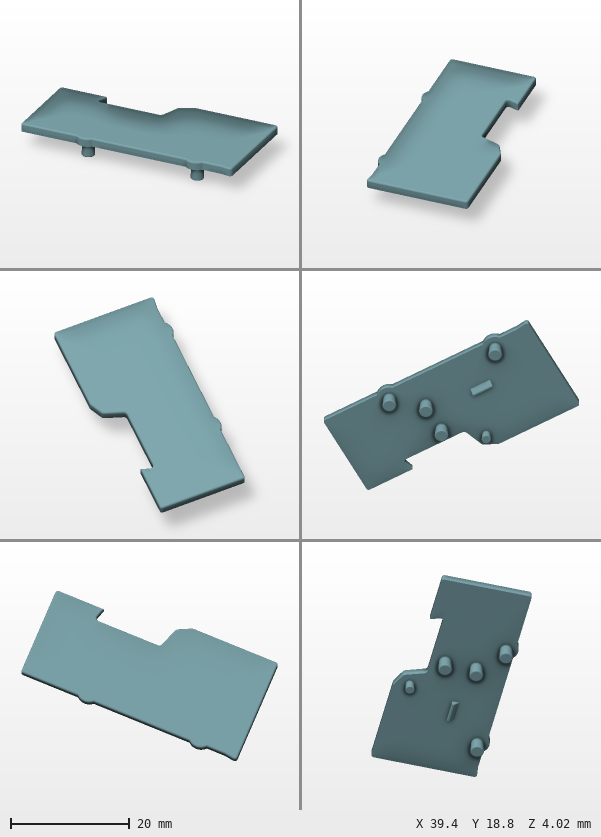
import cadquery as cq
import math

length = 39.4
plate_thickness = 1.5
top_fillet = 0.3
left_side_y = 15.52
right_side_y = 18.25
left_corner_radius = 0.4
right_corner_radius = 0.47

notch_floor_y = 13.28
notch_lip_x = 8.65
notch_left_x = 7.95
notch_right_x = 19.9
notch_left_radius = 0.5
notch_right_radius = 0.7
shoulder_x, shoulder_y = 21.25, 17.02
shoulder_end_x = 23.75
shoulder_radius = 0.8

raised_edge_y = 0.2
slope_start_x = 37.2
corner_y = -0.1

pin_length = 2.52
pin_top_diameter = 2.05
pin_tip_diameter = 2.32
pin_tip_fillet = 0.25
front_pin_y = 1.58
left_pin_x = 11.9
right_pin_x = 32.25
inner_pin_x = 16.75
inner_pin_ys = (5.55, 10.95)

short_pin_x, short_pin_y = 22.8, 15.55
short_pin_length = 1.8
short_pin_top_diameter = 1.4
short_pin_tip_diameter = 1.58
short_pin_tip_fillet = 0.1

lobe_radius = 2.13
lobe_blend_radius = 0.3

catch_start_x = 24.65
catch_width = 3.82
catch_front_y = 6.55
catch_back_y = 7.75
catch_depth = 0.83
catch_fillet = 0.2


def lobe_half_width(edge_y):
    """Half the chord that a straight edge at edge_y cuts from a lobe."""
    return math.sqrt(lobe_radius**2 - (front_pin_y - edge_y) ** 2)


def round_corners(solid, corners, radius):
    """Round the upright edges of the plate at the given corners."""
    for x, y in corners:
        nearest = cq.selectors.NearestToPointSelector((x, y, plate_thickness / 2))
        solid = solid.edges("|Z").edges(nearest).fillet(radius)
    return solid


def plate():
    lobe_tip_y = front_pin_y - lobe_radius
    half_chord = lobe_half_width(0)
    raised_half_chord = lobe_half_width(raised_edge_y)
    left_lobe_ends = (left_pin_x - half_chord, left_pin_x + half_chord)
    right_lobe_ends = (right_pin_x - half_chord, right_pin_x + raised_half_chord)

    body = (
        cq.Workplane("XY")
        .lineTo(left_lobe_ends[0], 0)
        .threePointArc((left_pin_x, lobe_tip_y), (left_lobe_ends[1], 0))
        .lineTo(right_lobe_ends[0], 0)
        .threePointArc((right_pin_x, lobe_tip_y), (right_lobe_ends[1], raised_edge_y))
        .lineTo(slope_start_x, raised_edge_y)
        .lineTo(length, corner_y)
        .lineTo(length, right_side_y)
        .lineTo(shoulder_end_x, right_side_y)
        .lineTo(shoulder_x, shoulder_y)
        .lineTo(notch_right_x, notch_floor_y)
        .lineTo(notch_left_x, notch_floor_y)
        .lineTo(notch_lip_x, left_side_y)
        .lineTo(0, left_side_y)
        .close()
        .extrude(plate_thickness)
    )

    lobe_corners = [(x, 0) for x in (*left_lobe_ends, right_lobe_ends[0])]
    lobe_corners.append((right_lobe_ends[1], raised_edge_y))
    shoulder_corners = [(shoulder_x, shoulder_y), (shoulder_end_x, right_side_y)]
    body = round_corners(body, [(0, 0), (0, left_side_y)], left_corner_radius)
    body = round_corners(body, [(length, corner_y), (length, right_side_y)], right_corner_radius)
    body = round_corners(body, lobe_corners, lobe_blend_radius)
    body = round_corners(body, [(notch_left_x, notch_floor_y)], notch_left_radius)
    body = round_corners(body, [(notch_right_x, notch_floor_y)], notch_right_radius)
    body = round_corners(body, shoulder_corners, shoulder_radius)
    return body.faces(">Z").fillet(top_fillet)


def flared_pin(x, y, pin_depth, top_diameter, tip_diameter, tip_fillet):
    """Pin that widens downwards, with its tip edge rounded."""
    root_z = plate_thickness / 2
    profile = (
        cq.Workplane("XZ")
        .moveTo(0, root_z)
        .lineTo(top_diameter / 2, root_z)
        .lineTo(top_diameter / 2, 0)
        .lineTo(tip_diameter / 2, -pin_depth)
        .lineTo(0, -pin_depth)
        .close()
    )
    pin = profile.revolve(360, (0, 0, 0), (0, 1, 0)).faces("<Z").edges().fillet(tip_fillet)
    return pin.translate((x, y, 0))


def catch():
    """Catch with a 45 degree front face and an upright back face, its free edges rounded."""
    wedge = (
        cq.Workplane("YZ", origin=(catch_start_x, 0, 0))
        .moveTo(catch_front_y, 0)
        .lineTo(catch_front_y + catch_depth, -catch_depth)
        .lineTo(catch_back_y, -catch_depth)
        .lineTo(catch_back_y, 0)
        .close()
        .extrude(catch_width)
    )
    return wedge.edges("not >Z").fillet(catch_fillet)


pin_positions = [(left_pin_x, front_pin_y), (right_pin_x, front_pin_y)]
pin_positions += [(inner_pin_x, y) for y in inner_pin_ys]

result = plate().union(catch())
for pin_x, pin_y in pin_positions:
    pin = flared_pin(pin_x, pin_y, pin_length, pin_top_diameter, pin_tip_diameter, pin_tip_fillet)
    result = result.union(pin)
result = result.union(
    flared_pin(
        short_pin_x,
        short_pin_y,
        short_pin_length,
        short_pin_top_diameter,
        short_pin_tip_diameter,
        short_pin_tip_fillet,
    )
)